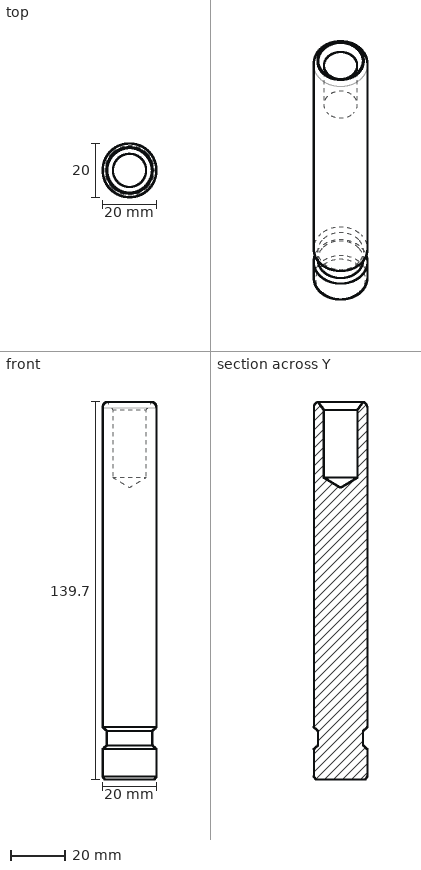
import cadquery as cq
import math

length = 139.7
radius = 20.0 / 2

bottom_chamfer_height = 1.1
bottom_chamfer_width = 0.8
groove_bottom = 11.3
groove_top = 19.4
groove_depth = 1.5
groove_flank_height = 1.4

rim_round_height = 2.2
rim_round_width = 1.4
rim_bulge = 0.4

bore_radius = 12.3 / 2
mouth_radius = 8.2
mouth_depth = 3.0
bore_depth = 28.0
drill_point_angle = 118.0


def make_pin():
    """Revolve the outer half-profile about Z."""
    groove_radius = radius - groove_depth
    rim_start = (radius, length - rim_round_height)
    rim_end = (radius - rim_round_width, length)
    chord = math.hypot(rim_round_width, rim_round_height)
    rim_middle = (
        radius - rim_round_width / 2 + rim_bulge * rim_round_height / chord,
        length - rim_round_height / 2 + rim_bulge * rim_round_width / chord,
    )
    return (
        cq.Workplane("XZ")
        .lineTo(radius - bottom_chamfer_width, 0)
        .lineTo(radius, bottom_chamfer_height)
        .lineTo(radius, groove_bottom)
        .lineTo(groove_radius, groove_bottom + groove_flank_height)
        .lineTo(groove_radius, groove_top - groove_flank_height)
        .lineTo(radius, groove_top)
        .lineTo(*rim_start)
        .threePointArc(rim_middle, rim_end)
        .lineTo(0, length)
        .close()
        .revolve(360, (0, 0), (0, 1))
    )


def make_bore():
    """Revolve the half-profile of the countersunk blind bore about Z."""
    bore_floor = length - bore_depth
    point_depth = bore_radius / math.tan(math.radians(drill_point_angle / 2))
    return (
        cq.Workplane("XZ")
        .moveTo(0, length)
        .lineTo(mouth_radius, length)
        .lineTo(bore_radius, length - mouth_depth)
        .lineTo(bore_radius, bore_floor)
        .lineTo(0, bore_floor - point_depth)
        .close()
        .revolve(360, (0, 0), (0, 1))
    )


result = make_pin().cut(make_bore())